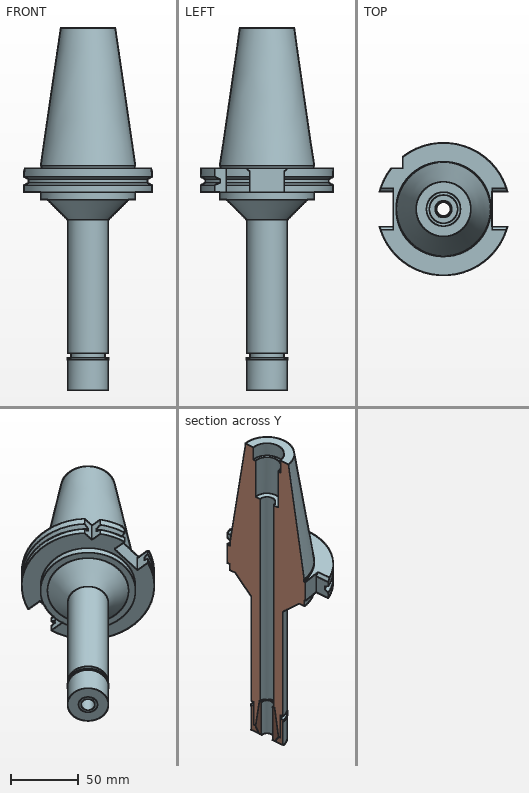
import cadquery as cq
import math

TOTAL_HEIGHT = 266.8
TAPER_HEIGHT = 101.5
NECK_HEIGHT = 1.5
FLANGE_HEIGHT = 17.5
COLLAR_HEIGHT = 5.5
NUT_HEIGHT = 24.0
NUT_RIM_HEIGHT = 1.5
RELIEF_HEIGHT = 3.2

GAUGE_Z = TOTAL_HEIGHT - TAPER_HEIGHT
FLANGE_TOP_Z = GAUGE_Z - NECK_HEIGHT
FLANGE_BOTTOM_Z = FLANGE_TOP_Z - FLANGE_HEIGHT
COLLAR_BOTTOM_Z = FLANGE_BOTTOM_Z - COLLAR_HEIGHT
SHANK_BOTTOM_Z = NUT_HEIGHT + RELIEF_HEIGHT

GAUGE_RADIUS = 35.0
TAPER_RATIO = 7 / 24
TAPER_TOP_RADIUS = GAUGE_RADIUS - TAPER_HEIGHT * TAPER_RATIO / 2
NECK_RADIUS = 34.5
FLANGE_RADIUS = 48.8
COLLAR_RADIUS = GAUGE_RADIUS
SHANK_RADIUS = 15.0
CONE_TOP_RADIUS = 2 * SHANK_RADIUS
CONE_BOTTOM_Z = COLLAR_BOTTOM_Z - (CONE_TOP_RADIUS - SHANK_RADIUS)
THREAD_RADIUS = 12.5

GROOVE_TOP_LIP = 6.5
GROOVE_BOTTOM_LIP = 5.0
GROOVE_DEPTH = 3.2
GROOVE_FLANK_HEIGHT = 2.0

SLOT_WIDTH = 25.5
SLOT_CHAMFER = 2.5
LEFT_SLOT_FLOOR_X = -37.0
RIGHT_SLOT_FLOOR_X = 35.7
NOTCH_CORNER = 30.1

COUNTERBORE_RADIUS = 12.5
COUNTERBORE_DEPTH = 11.5
PULL_STUD_RADIUS = 10.5
PULL_STUD_DEPTH = 45.3
COOLANT_RADIUS = 6.1

COLLET_BORE_RADIUS = 5.0
COLLET_MAX_RADIUS = 10.5
COLLET_TAPER_ANGLE = 8
COLLET_TAPER_HEIGHT = 25.0
COLLET_NOSE_ANGLE = 30
HOLDER_NOSE_Z = 6.0
COLLET_TOP_Z = HOLDER_NOSE_Z + COLLET_TAPER_HEIGHT
COLLET_TAPER_INSET = COLLET_TAPER_HEIGHT * math.tan(math.radians(COLLET_TAPER_ANGLE))
COLLET_TOP_RADIUS = COLLET_MAX_RADIUS - COLLET_TAPER_INSET
COLLET_NOSE_INSET = HOLDER_NOSE_Z * math.tan(math.radians(COLLET_NOSE_ANGLE))
COLLET_FACE_RADIUS = COLLET_MAX_RADIUS - COLLET_NOSE_INSET

NUT_RIM_RADIUS = 15.2
NUT_RIM_STEP = 0.13
NUT_RADIUS = NUT_RIM_RADIUS - NUT_RIM_STEP


def revolve_profile(points):
    """Solid of revolution about Z from (radius, height) points."""
    return cq.Workplane("XZ").polyline(points).close().revolve(360, (0, 0, 0), (0, 1, 0))


def cylinder(radius, bottom_z, top_z):
    return cq.Workplane("XY").workplane(offset=bottom_z).circle(radius).extrude(top_z - bottom_z)


def make_collet_envelope():
    """Collet without its bore, also used as the cutter for its seats."""
    return revolve_profile([
        (0, 0),
        (COLLET_FACE_RADIUS, 0),
        (COLLET_MAX_RADIUS, HOLDER_NOSE_Z),
        (COLLET_TOP_RADIUS, COLLET_TOP_Z),
        (0, COLLET_TOP_Z),
    ])


def make_holder_blank():
    groove_top_z = FLANGE_TOP_Z - GROOVE_TOP_LIP
    groove_bottom_z = FLANGE_BOTTOM_Z + GROOVE_BOTTOM_LIP
    groove_radius = FLANGE_RADIUS - GROOVE_DEPTH
    return revolve_profile([
        (0, HOLDER_NOSE_Z),
        (THREAD_RADIUS, HOLDER_NOSE_Z),
        (THREAD_RADIUS, SHANK_BOTTOM_Z),
        (SHANK_RADIUS, SHANK_BOTTOM_Z),
        (SHANK_RADIUS, CONE_BOTTOM_Z),
        (CONE_TOP_RADIUS, COLLAR_BOTTOM_Z),
        (COLLAR_RADIUS, COLLAR_BOTTOM_Z),
        (COLLAR_RADIUS, FLANGE_BOTTOM_Z),
        (FLANGE_RADIUS, FLANGE_BOTTOM_Z),
        (FLANGE_RADIUS, groove_bottom_z),
        (groove_radius, groove_bottom_z + GROOVE_FLANK_HEIGHT),
        (groove_radius, groove_top_z - GROOVE_FLANK_HEIGHT),
        (FLANGE_RADIUS, groove_top_z),
        (FLANGE_RADIUS, FLANGE_TOP_Z),
        (NECK_RADIUS, FLANGE_TOP_Z),
        (NECK_RADIUS, GAUGE_Z),
        (GAUGE_RADIUS, GAUGE_Z),
        (TAPER_TOP_RADIUS, TOTAL_HEIGHT),
        (0, TOTAL_HEIGHT),
    ])


def make_drive_slot(floor_x):
    """Cutter for one slot through the flange, open outward from floor_x, with chamfered top edges."""
    half_width = SLOT_WIDTH / 2
    outward = math.copysign(FLANGE_RADIUS, floor_x)
    return (
        cq.Workplane("YZ")
        .workplane(offset=floor_x)
        .polyline([
            (-half_width, FLANGE_BOTTOM_Z),
            (half_width, FLANGE_BOTTOM_Z),
            (half_width, FLANGE_TOP_Z - SLOT_CHAMFER),
            (half_width + SLOT_CHAMFER, FLANGE_TOP_Z),
            (-half_width - SLOT_CHAMFER, FLANGE_TOP_Z),
            (-half_width, FLANGE_TOP_Z - SLOT_CHAMFER),
        ])
        .close()
        .extrude(outward)
    )


def make_orientation_notch():
    """Square-cornered cutter at the -X, +Y side of the flange."""
    return (
        cq.Workplane("XY")
        .workplane(offset=FLANGE_BOTTOM_Z)
        .moveTo(-NOTCH_CORNER, NOTCH_CORNER)
        .rect(-FLANGE_RADIUS, FLANGE_RADIUS, centered=False)
        .extrude(FLANGE_HEIGHT)
    )


def make_holder():
    holder = make_holder_blank()
    for floor_x in (LEFT_SLOT_FLOOR_X, RIGHT_SLOT_FLOOR_X):
        holder = holder.cut(make_drive_slot(floor_x))
    holder = holder.cut(make_orientation_notch())
    holder = holder.cut(cylinder(COUNTERBORE_RADIUS, TOTAL_HEIGHT - COUNTERBORE_DEPTH, TOTAL_HEIGHT))
    holder = holder.cut(cylinder(PULL_STUD_RADIUS, TOTAL_HEIGHT - PULL_STUD_DEPTH, TOTAL_HEIGHT))
    holder = holder.cut(cylinder(COOLANT_RADIUS, HOLDER_NOSE_Z, TOTAL_HEIGHT))
    return holder.cut(make_collet_envelope())


def make_nut():
    """Nut around the threaded nose, with a slightly larger rim at its top."""
    nut = cylinder(NUT_RADIUS, 0, NUT_HEIGHT - NUT_RIM_HEIGHT)
    nut = nut.union(cylinder(NUT_RIM_RADIUS, NUT_HEIGHT - NUT_RIM_HEIGHT, NUT_HEIGHT))
    nut = nut.cut(cylinder(THREAD_RADIUS, HOLDER_NOSE_Z, NUT_HEIGHT))
    return nut.cut(make_collet_envelope())


def make_collet():
    return make_collet_envelope().cut(cylinder(COLLET_BORE_RADIUS, 0, COLLET_TOP_Z))


holder = make_holder()
nut = make_nut()
collet = make_collet()

result = cq.Compound.makeCompound([holder.val(), nut.val(), collet.val()])